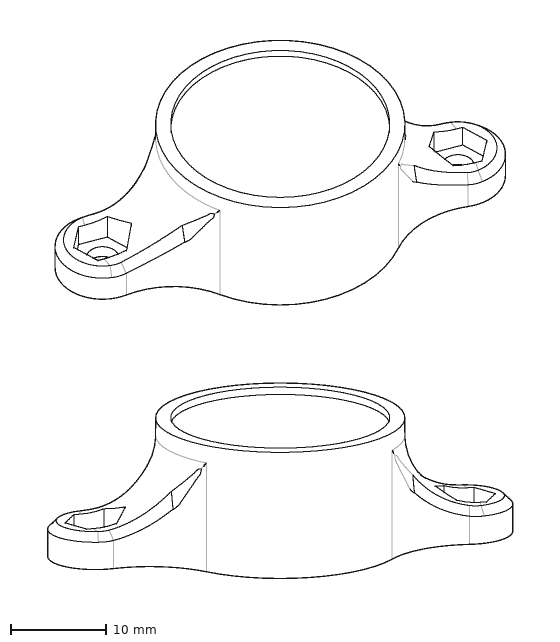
import cadquery as cq
import math

body_radius = 26.2 / 2
body_height = 13.8
recess_diameter = 23
recess_depth = 0.8

total_length = 50
ear_radius = 5
ear_height = 3.9
ear_center = total_length / 2 - ear_radius
chamfer = 0.9
taper_length = 3
taper_stations = 6
cutter_overrun = 2
taper_end_size = 0.025
side_blend_radius = 10
top_blend_radius = 8

screw_diameter = 3.4
hex_corner_diameter = 6.5
hex_floor = 1.4


to_body = body_radius + side_blend_radius
to_ear = ear_radius + side_blend_radius
blend_y = (to_body**2 - to_ear**2 + ear_center**2) / (2 * ear_center)
blend_x = math.sqrt(to_body**2 - blend_y**2)

body_x = blend_x * body_radius / to_body
body_y = blend_y * body_radius / to_body
ear_x = blend_x * ear_radius / to_ear
ear_y = ear_center + (blend_y - ear_center) * ear_radius / to_ear

blend_top = ear_height + top_blend_radius
blend_end = body_radius + top_blend_radius


def ear_outline():
    """Outline of the +Y ear, from the body centre out to the rounded tip."""
    toward_x = (body_x + ear_x) / 2 - blend_x
    toward_y = (body_y + ear_y) / 2 - blend_y
    reach = side_blend_radius / math.hypot(toward_x, toward_y)
    mid_x = blend_x + toward_x * reach
    mid_y = blend_y + toward_y * reach

    return (
        cq.Workplane("XY")
        .moveTo(0, 0)
        .lineTo(body_x, body_y)
        .threePointArc((mid_x, mid_y), (ear_x, ear_y))
        .threePointArc((0, total_length / 2), (-ear_x, ear_y))
        .threePointArc((-mid_x, mid_y), (-body_x, body_y))
        .close()
    )


def swept_envelope():
    """Body of revolution whose upper side sweeps down to the ear top."""
    diagonal = top_blend_radius * math.sqrt(0.5)
    return (
        cq.Workplane("XZ")
        .lineTo(total_length, 0)
        .lineTo(total_length, ear_height)
        .lineTo(blend_end, ear_height)
        .threePointArc((blend_end - diagonal, blend_top - diagonal), (body_radius, blend_top))
        .lineTo(0, blend_top)
        .close()
        .revolve(360, (0, 0, 0), (0, 1, 0))
    )


def taper_section(y, size):
    """Triangle across the +X rim at the given Y, cutting a chamfer of this size."""
    x = blend_x - math.sqrt(side_blend_radius**2 - (y - blend_y) ** 2)
    radius = math.hypot(x, y)
    inward = blend_end - radius
    rim = cq.Vector(x, y, blend_top - math.sqrt(top_blend_radius**2 - inward**2))

    side_normal = cq.Vector(blend_x - x, blend_y - y, 0).normalized()
    top_normal = cq.Vector(inward * x / radius, inward * y / radius, blend_top - rim.z).normalized()
    along_rim = side_normal.cross(top_normal).normalized()

    lower = rim + along_rim.cross(side_normal) * -size
    upper = rim + along_rim.cross(top_normal) * size
    overrun = (upper - lower) * 0.5
    apex = rim + (side_normal + top_normal) * size
    return cq.Wire.makePolygon([lower - overrun, upper + overrun, apex], close=True)


def taper_cutter():
    """Wedge that fades the +X chamfer out towards the body wall."""
    sections = []
    for station in range(taper_stations + cutter_overrun + 1):
        fraction = station / taper_stations
        size = taper_end_size + (chamfer - taper_end_size) * min(fraction, 1)
        y = body_y + taper_end_size + (taper_length - taper_end_size) * fraction
        sections.append(taper_section(y, size))
    return cq.Workplane(cq.Solid.makeLoft(sections, False))


def ear():
    """One +Y ear, its upper rim chamfered and fading out at the body."""
    blank = ear_outline().extrude(body_height).intersect(swept_envelope())
    rim_point = (0, total_length / 2, ear_height)
    chamfered = blank.edges(cq.NearestToPointSelector(rim_point)).chamfer(chamfer)

    root_zone = cq.Workplane("XY").box(
        2 * body_radius, body_y + taper_length, body_height, centered=(True, False, False)
    )
    cutter = taper_cutter()
    root = blank.intersect(root_zone).cut(cutter).cut(cutter.mirror("YZ"))
    return chamfered.cut(root_zone).union(root)


def fastener_cut():
    """Screw hole and nut pocket, with hexagon corners along Y."""
    screw = cq.Workplane("XY").center(0, ear_center).circle(screw_diameter / 2).extrude(body_height)
    nut = (
        cq.Workplane("XY", origin=(0, ear_center, hex_floor))
        .transformed(rotate=(0, 0, 90))
        .polygon(6, hex_corner_diameter)
        .extrude(body_height)
    )
    return screw.union(nut)


body = cq.Workplane("XY").circle(body_radius).extrude(body_height)
recess = (
    cq.Workplane("XY", origin=(0, 0, body_height - recess_depth))
    .circle(recess_diameter / 2)
    .extrude(recess_depth)
)

result = body
for angle in (0, 180):
    drilled_ear = ear().cut(fastener_cut())
    result = result.union(drilled_ear.rotate((0, 0, 0), (0, 0, 1), angle))
result = result.cut(recess)